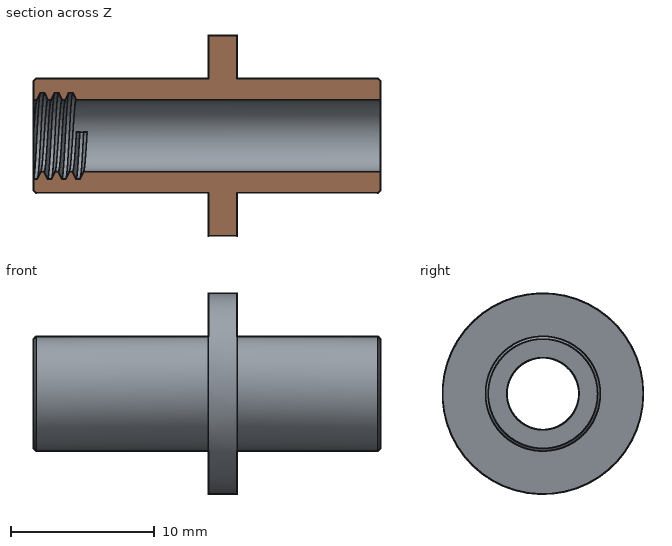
import cadquery as cq

length = 24.2
body_diameter = 8.0
flange_diameter = 14.0
flange_thickness = 2.0
flange_start = 12.2
end_chamfer = 0.2

bore_diameter = 5.0
thread_diameter = 6.0
thread_pitch = 1.0
thread_turns = 3.4
groove_mouth_width = 0.75
groove_root_width = 0.27
groove_overlap = 0.05
groove_start_angle = 48.0


def make_body():
    """Chamfered sleeve with a round flange near the middle."""
    sleeve = cq.Workplane("YZ").circle(body_diameter / 2).extrude(length)
    sleeve = sleeve.faces("<X or >X").chamfer(end_chamfer)
    flange = (
        cq.Workplane("YZ", origin=(flange_start, 0, 0))
        .circle(flange_diameter / 2)
        .extrude(flange_thickness)
    )
    return sleeve.union(flange)


def make_groove_cutter():
    """Trapezoid swept along a helix, from one pitch outside the part to the thread end."""
    bore_radius = bore_diameter / 2
    root_radius = thread_diameter / 2
    flank_slope = (groove_mouth_width - groove_root_width) / 2 / (root_radius - bore_radius)
    inner_radius = bore_radius - groove_overlap
    inner_half = groove_mouth_width / 2 + flank_slope * groove_overlap
    root_half = groove_root_width / 2

    helix = cq.Wire.makeHelix(thread_pitch, (thread_turns + 1) * thread_pitch, bore_radius)
    cutter = (
        cq.Workplane("XZ")
        .polyline([
            (inner_radius, -inner_half),
            (root_radius, -root_half),
            (root_radius, root_half),
            (inner_radius, inner_half),
        ])
        .close()
        .sweep(cq.Workplane(obj=helix), isFrenet=True)
    )

    return (
        cutter.translate((0, 0, -thread_pitch))
        .rotate((0, 0, 0), (0, 0, 1), -90 - groove_start_angle)
        .rotate((0, 0, 0), (0, 1, 0), 90)
    )


bore = cq.Workplane("YZ").circle(bore_diameter / 2).extrude(length)
result = make_body().cut(bore).cut(make_groove_cutter())